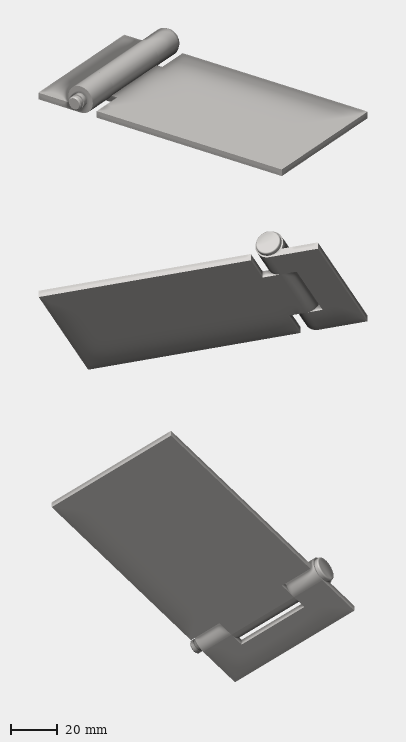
import cadquery as cq

total_length = 126.0
leaf_width = 65.0
sheet_thickness = 3.2
pin_diameter = 6.3
axis_x = 21.9
middle_knuckle = 34.1
slot_edge_x = 14.9
large_leaf_x = 30.2

head_diameter = 11.1
head_length = 2.0
head_rounding = 0.6
tail_length = 4.9
groove_offset = 2.1
groove_width = 0.8
groove_depth = 0.5
tip_chamfer = 0.5

pin_radius = pin_diameter / 2
barrel_radius = pin_radius + sheet_thickness
axis_z = barrel_radius
end_knuckle = (leaf_width - middle_knuckle) / 2
middle_start = end_knuckle
middle_end = end_knuckle + middle_knuckle


def plate(x_start, x_end, y_start, y_end):
    """Flat piece of leaf with its underside at Z = 0."""
    size = (x_end - x_start, y_end - y_start, sheet_thickness)
    return cq.Workplane("XY").box(*size, centered=False).translate((x_start, y_start, 0))


def cylinder(radius, y_start, y_end):
    """Solid cylinder on the hinge axis."""
    length = y_end - y_start
    disc = cq.Workplane("XZ", origin=(axis_x, y_start, axis_z)).circle(radius)
    return disc.extrude(-length)


def knuckle(x_edge, y_start, y_end):
    """Barrel segment joined to its leaf by a tangent strip reaching x_edge."""
    strip = plate(min(x_edge, axis_x), max(x_edge, axis_x), y_start, y_end)
    return strip.union(cylinder(barrel_radius, y_start, y_end))


def make_small_leaf():
    """Narrow leaf carrying the two end knuckles."""
    leaf = plate(0, slot_edge_x, 0, leaf_width)
    for y_start, y_end in [(0, middle_start), (middle_end, leaf_width)]:
        leaf = leaf.union(knuckle(slot_edge_x, y_start, y_end))
    return leaf.cut(cylinder(pin_radius, 0, leaf_width))


def make_large_leaf():
    """Wide leaf carrying the middle knuckle."""
    leaf = plate(large_leaf_x, total_length, 0, leaf_width)
    leaf = leaf.union(knuckle(large_leaf_x, middle_start, middle_end))
    return leaf.cut(cylinder(pin_radius, 0, leaf_width))


def make_pin():
    """Headed pin with a retaining groove near its chamfered tip."""
    shank = cylinder(pin_radius, -tail_length, leaf_width).faces("<Y").chamfer(tip_chamfer)
    head = cylinder(head_diameter / 2, leaf_width, leaf_width + head_length)
    head = head.faces(">Y").edges().fillet(head_rounding)
    groove_end = -groove_offset
    groove_start = groove_end - groove_width
    groove = cylinder(pin_radius, groove_start, groove_end).cut(
        cylinder(pin_radius - groove_depth, groove_start, groove_end)
    )
    return shank.union(head).cut(groove)


small_leaf = make_small_leaf()
large_leaf = make_large_leaf()
pin = make_pin()

result = cq.Compound.makeCompound([small_leaf.val(), large_leaf.val(), pin.val()])